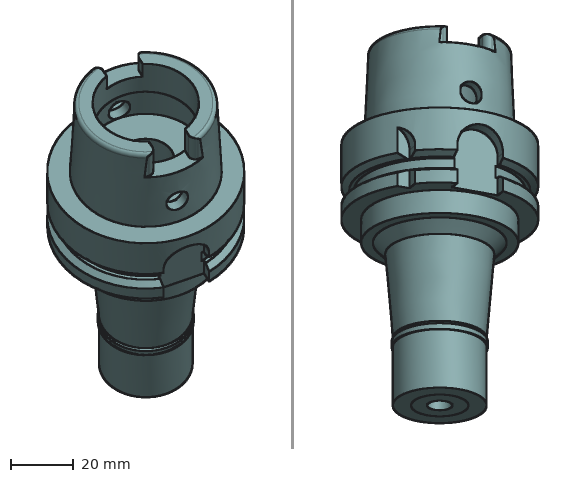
import cadquery as cq
import math

total_height = 122.0
nut_height = 22.1
neck_top = 23.0
nose_top = 52.1
flare_top = 56.1
flange_bottom = 64.0
flange_top = 89.9

neck_radius = 11.3
nose_end_radius = 15.0
nose_root_radius = 17.5
flare_radius = 21.4
shoulder_radius = 25.1
flange_radius = 31.5
shank_base_radius = 24.3
shank_top_radius = 22.8
shank_edge_fillet = 1.5

groove_radius = 27.5
groove_bottom = 70.2
groove_top = 74.0
groove_chamfer_height = 1.5
groove_chamfer_angle = 30.0

shank_bore_radius = 17.0
clamp_recess_radius = 20.0
clamp_recess_top = 109.0
clamp_recess_floor = 95.3
collet_radius = 9.2
collet_bore_radius = 4.0
collet_length = 31.7

drive_slot_half_width = 6.3
drive_slot_corner_radius = 2.3
drive_flat_offset = 20.9
left_slot_depth = 6.0
right_slot_depth = 10.0

cross_hole_radius = 3.8
cross_hole_height = 99.2

keyway_radius = 8.0
keyway_top = 85.3
keyway_floor = 26.5
notch_edge = 20.0

nut_radius = 15.0
nut_collar_radius = 15.4
nut_collar_bottom = 20.1


def revolve_profile(points):
    """Revolve a closed (radius, height) outline about the Z axis."""
    return cq.Workplane("XZ").polyline(points).close().revolve(360, (0, 0), (0, 1))


def cylinder(radius, bottom, top):
    return cq.Workplane("XY").workplane(offset=bottom).circle(radius).extrude(top - bottom)


def holder_blank():
    """Turned outside of the holder, still solid."""
    outline = [
        (0, nut_height),
        (neck_radius, nut_height),
        (neck_radius, neck_top),
        (nose_end_radius, neck_top),
        (nose_root_radius, nose_top),
        (flare_radius, flare_top),
        (shoulder_radius, flare_top),
        (shoulder_radius, flange_bottom),
        (flange_radius, flange_bottom),
        (flange_radius, flange_top),
        (shank_base_radius, flange_top),
        (shank_top_radius, total_height),
        (0, total_height),
    ]
    return revolve_profile(outline).faces(">Z").edges().fillet(shank_edge_fillet)


def gripper_groove():
    """Ring cutter for the flange groove with flared mouth."""
    flare_depth = groove_chamfer_height / math.tan(math.radians(groove_chamfer_angle))
    flare_root = flange_radius - flare_depth
    return revolve_profile([
        (groove_radius, groove_bottom),
        (flare_root, groove_bottom),
        (flange_radius, groove_bottom - groove_chamfer_height),
        (flange_radius, groove_top + groove_chamfer_height),
        (flare_root, groove_top),
        (groove_radius, groove_top),
    ])


def internal_bores():
    """Shank bore, wider clamping recess and the bore that takes the collet."""
    shank_bore = cylinder(shank_bore_radius, clamp_recess_floor, total_height)
    clamp_recess = cylinder(clamp_recess_radius, clamp_recess_floor, clamp_recess_top)
    collet_bore = cylinder(collet_radius, nut_height, clamp_recess_floor)
    return shank_bore.union(clamp_recess).union(collet_bore)


def drive_slot(side, depth):
    """Slot on the +X (side=1) or -X (side=-1) half, its mouth rounded out to the prong flats."""
    round_start = drive_flat_offset - drive_slot_corner_radius
    round_end = drive_slot_half_width + drive_slot_corner_radius
    round_middle = drive_slot_corner_radius * math.sqrt(0.5)
    arc_middle = (side * (round_start + round_middle), round_end - round_middle)
    return (
        cq.Workplane("XY").workplane(offset=total_height - depth)
        .moveTo(0, -drive_slot_half_width)
        .lineTo(side * round_start, -drive_slot_half_width)
        .threePointArc((arc_middle[0], -arc_middle[1]), (side * drive_flat_offset, -round_end))
        .lineTo(side * drive_flat_offset, -flange_radius)
        .lineTo(side * flange_radius, -flange_radius)
        .lineTo(side * flange_radius, flange_radius)
        .lineTo(side * drive_flat_offset, flange_radius)
        .lineTo(side * drive_flat_offset, round_end)
        .threePointArc(arc_middle, (side * round_start, drive_slot_half_width))
        .lineTo(0, drive_slot_half_width)
        .close()
        .extrude(depth)
    )


def round_topped_slot(center_y, radius, top, floor):
    """Slot cutter from x = floor out past the flange, round at the top, open at the flange bottom."""
    center_z = top - radius
    return (
        cq.Workplane("YZ").workplane(offset=floor)
        .moveTo(center_y - radius, flange_bottom)
        .lineTo(center_y - radius, center_z)
        .threePointArc((center_y, top), (center_y + radius, center_z))
        .lineTo(center_y + radius, flange_bottom)
        .close()
        .extrude(math.copysign(flange_radius, floor))
    )


def make_holder():
    body = holder_blank().cut(gripper_groove()).cut(internal_bores())
    body = body.cut(drive_slot(-1, left_slot_depth)).cut(drive_slot(1, right_slot_depth))
    cross_hole = (
        cq.Workplane("YZ").center(0, cross_hole_height)
        .circle(cross_hole_radius).extrude(shank_base_radius, both=True)
    )
    body = body.cut(cross_hole)
    for side in (-1, 1):
        body = body.cut(round_topped_slot(0, keyway_radius, keyway_top, side * keyway_floor))
    notch_center = notch_edge + keyway_radius
    return body.cut(round_topped_slot(notch_center, keyway_radius, keyway_top, -notch_edge))


def make_nut():
    """Clamping nut with a thin collar at its upper end, closed around the collet."""
    collar = cylinder(nut_collar_radius, nut_collar_bottom, nut_height)
    collet_hole = cylinder(collet_radius, 0, nut_height)
    return cylinder(nut_radius, 0, nut_height).union(collar).cut(collet_hole)


def make_collet():
    """Sleeve that passes through the nut and up into the holder."""
    return cylinder(collet_radius, 0, collet_length).cut(cylinder(collet_bore_radius, 0, collet_length))


holder = make_holder()
nut = make_nut()
collet = make_collet()

result = cq.Compound.makeCompound([holder.val(), nut.val(), collet.val()])